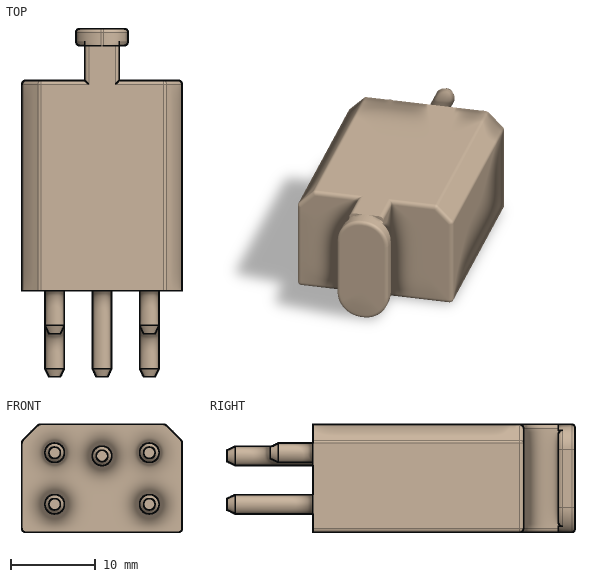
import cadquery as cq

total_length = 41.2
width = 19.0
height = 12.8
corner_cut = 2.0
edge_radius = 0.5

pin_diameter = 2.3
pin_tip_diameter = 1.35
pin_tip_length = 1.0
long_pin_length = 10.17
short_pin_length = 5.05
side_pin_x = 5.6
lower_pin_z = 3.35
center_pin_z = 9.05
upper_pin_z = 9.45

neck_width = 4.1
tail_length = 6.1
head_width = 6.18
head_thickness = 2.0
head_corner_radius = 2.95
head_end_radius = 0.4

tail_end_y = total_length - long_pin_length
shoulder_y = tail_end_y - tail_length
head_start_y = tail_end_y - head_thickness


def block(block_width, start_y, end_y):
    """Full-height block centred on x = 0."""
    return cq.Workplane("XY").box(
        block_width, end_y - start_y, height, centered=(True, False, False)
    ).translate((0, start_y, 0))


def make_body():
    """Housing and neck with rounded outer edges."""
    housing = block(width, 0, shoulder_y).edges("|Y and >Z").chamfer(corner_cut)
    body = housing.union(block(neck_width, 0, head_start_y))
    end_faces = body.faces("<Y or >Y").edges()
    root_corners = body.edges(
        cq.selectors.BoxSelector(
            (-neck_width, shoulder_y - edge_radius, 0),
            (neck_width, shoulder_y + edge_radius, height),
        )
    ).edges("|Z")
    outer_edges = [
        edge
        for edge in body.edges().vals()
        if not any(edge.isSame(kept) for kept in end_faces.vals() + root_corners.vals())
    ]
    return body.newObject(outer_edges).fillet(edge_radius)


def make_head():
    """Rounded head whose inner rim is left square where the neck joins it."""
    blank = block(head_width, head_start_y, tail_end_y).edges("|Y").fillet(head_corner_radius)
    blank = blank.faces(">Y").edges().fillet(head_end_radius)
    neck_joint = blank.intersect(block(neck_width, head_start_y, tail_end_y))
    return blank.faces("<Y").edges().fillet(edge_radius).union(neck_joint)


def make_pin(x, z, length):
    """Round pin with a tapered tip, starting at the connector face."""
    taper_start = length - pin_tip_length
    profile = [
        (0, 0),
        (pin_diameter / 2, 0),
        (pin_diameter / 2, -taper_start),
        (pin_tip_diameter / 2, -length),
        (0, -length),
    ]
    pin = cq.Workplane("XY").polyline(profile).close().revolve(360, (0, 0), (0, 1))
    return pin.translate((x, 0, z))


result = make_body().union(make_head())
result = result.union(make_pin(0, center_pin_z, long_pin_length))
for pin_x in (-side_pin_x, side_pin_x):
    result = result.union(make_pin(pin_x, lower_pin_z, long_pin_length))
    result = result.union(make_pin(pin_x, upper_pin_z, short_pin_length))